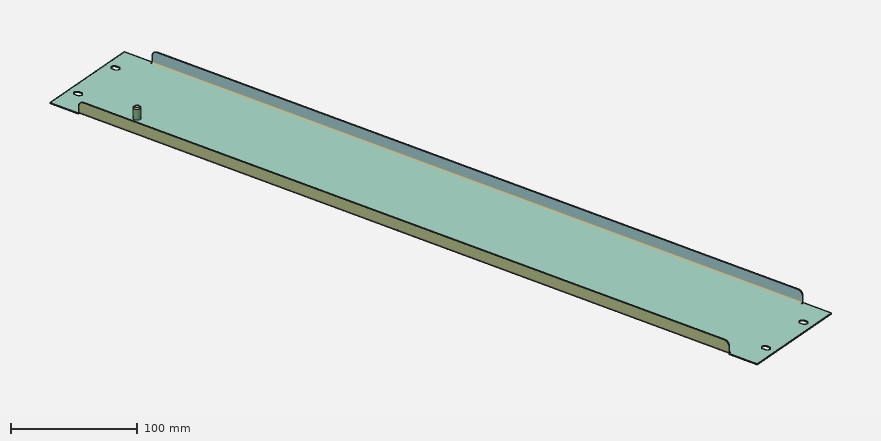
import cadquery as cq

length = 695.0
width = 99.5
height = 12.0
sheet = 1.0
bend_inner_radius = 1.5
bend_outer_radius = bend_inner_radius + sheet
flange_end_gap = 28.0
flange_length = length - 2 * flange_end_gap
flange_corner = 5.0

slot_length = 7.5
slot_width = 5.5
slot_pitch_x = 676.0
slot_pitch_y = 50.0

stud_diameter = 6.0
stud_chamfer = 1.05
stud_x = -length / 2 + 70.0
stud_y = -width / 2 + 21.0


def make_flange():
    """Folded flange along the -Y edge, with its bend and rounded upper corners."""
    middle = -width / 2 + bend_outer_radius
    profile = (
        cq.Workplane("YZ", origin=(-flange_length / 2, 0, 0))
        .moveTo(middle, 0)
        .radiusArc((-width / 2, bend_outer_radius), bend_outer_radius)
        .lineTo(-width / 2, height)
        .lineTo(-width / 2 + sheet, height)
        .lineTo(-width / 2 + sheet, bend_outer_radius)
        .radiusArc((middle, sheet), -bend_inner_radius)
        .close()
    )
    flange = profile.extrude(flange_length)
    return flange.faces(">Z").edges("|Y").fillet(flange_corner)


def make_panel():
    """Sheet with full-width ends, two flanges and four mounting slots."""
    middle_width = width - 2 * bend_outer_radius
    panel = cq.Workplane("XY").box(length, middle_width, sheet, centered=(True, True, False))
    for side in (-1, 1):
        panel_end = cq.Workplane("XY").box(
            flange_end_gap, width, sheet, centered=(True, True, False)
        )
        panel = panel.union(panel_end.translate((side * (length - flange_end_gap) / 2, 0, 0)))

    front_flange = make_flange()
    panel = panel.union(front_flange).union(front_flange.mirror("XZ"))

    slots = (
        cq.Workplane("XY")
        .rarray(slot_pitch_x, slot_pitch_y, 2, 2)
        .slot2D(slot_length, slot_width)
        .extrude(sheet)
    )
    return panel.cut(slots)


def make_stud():
    """Round stud with a chamfered tip, from the sheet up to the flange height."""
    return (
        cq.Workplane("XY", origin=(stud_x, stud_y, sheet))
        .circle(stud_diameter / 2)
        .extrude(height - sheet)
        .faces(">Z")
        .chamfer(stud_chamfer)
    )


panel = make_panel()
stud = make_stud()
result = cq.Compound.makeCompound([panel.val(), stud.val()])